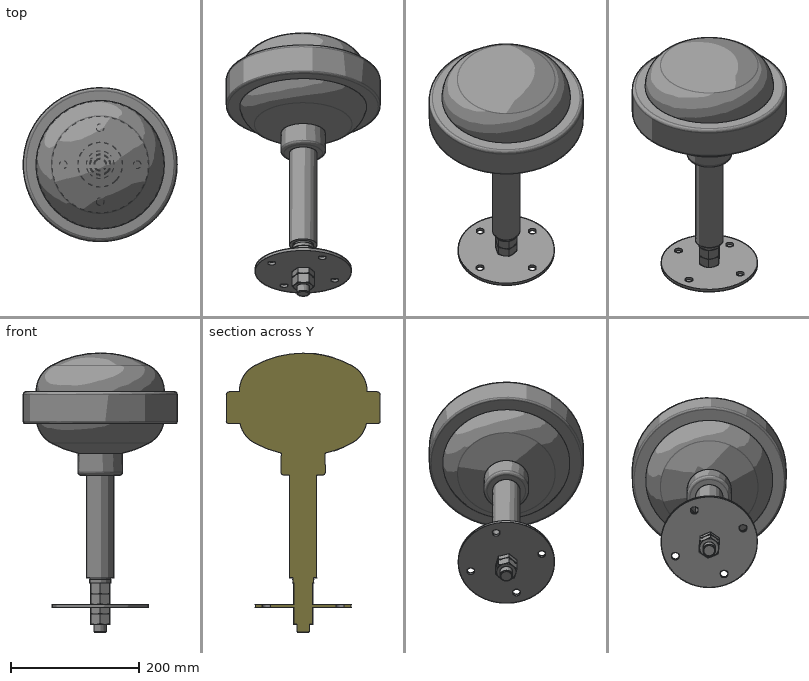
import cadquery as cq
import math

TOTAL_HEIGHT = 435.0

STUD_DIAMETER = 20.0
STUD_CHAMFER = 1.5
STUD_PROJECTION = 12.5
NUT_ACROSS_FLATS = 30.0
NUT_HEIGHT = 16.0
TOP_NUT_HEIGHT = 17.0
THIN_NUT_HEIGHT = 10.0
NUT_CHAMFER_ANGLE = 30.0

PLATE_DIAMETER = 150.0
PLATE_THICKNESS = 5.0
PLATE_HOLE_DIAMETER = 12.0
PLATE_HOLE_CIRCLE = 115.0
PLATE_HOLE_COUNT = 4

WASHER_DIAMETER = 33.0
WASHER_HEIGHT = 5.5
COLLAR_DIAMETER = 32.5
COLLAR_HEIGHT = 3.0
TUBE_DIAMETER = 43.0
BOSS_DIAMETER = 70.0
BOSS_BOTTOM = 244.5
BOSS_TOP_DIAMETER = 69.0
BOSS_FILLET = 5.0

RIM_DIAMETER = 240.0
RIM_BOTTOM = 325.0
RIM_HEIGHT = 50.0
RIM_TOP_FILLET = 5.0
RIM_BOTTOM_FILLET = 3.0

BODY_DIAMETER = 200.0
BODY_BOTTOM = 275.0
CROWN_RADIUS = 158.0
CROWN_EDGE_RADIUS = 76.0

LOWER_THIN_NUT_Z = STUD_PROJECTION + NUT_HEIGHT
PLATE_Z = LOWER_THIN_NUT_Z + THIN_NUT_HEIGHT
UPPER_NUT_Z = PLATE_Z + PLATE_THICKNESS
TOP_NUT_Z = UPPER_NUT_Z + NUT_HEIGHT
WASHER_Z = TOP_NUT_Z + TOP_NUT_HEIGHT
COLLAR_Z = WASHER_Z + WASHER_HEIGHT
TUBE_Z = COLLAR_Z + COLLAR_HEIGHT


def cylinder(diameter, bottom, top):
    return cq.Workplane("XY").workplane(offset=bottom).circle(diameter / 2).extrude(top - bottom)


def crown_point(angle):
    """Radius and distance from the apex of a crown point at an angle from the axis."""
    return CROWN_RADIUS * math.sin(angle), CROWN_RADIUS * (1 - math.cos(angle))


def make_body():
    """Revolve boss, lower crown, knuckle, side, knuckle and upper crown, then round the boss."""
    body_radius = BODY_DIAMETER / 2
    edge_sine = CROWN_EDGE_RADIUS / CROWN_RADIUS
    edge_angle = math.asin(edge_sine)
    joint_angle = math.asin(BOSS_TOP_DIAMETER / 2 / CROWN_RADIUS)

    joint_r, joint_rise = crown_point(joint_angle)
    lower_mid_r, lower_mid_rise = crown_point((joint_angle + edge_angle) / 2)
    upper_mid_r, upper_mid_drop = crown_point(edge_angle / 2)
    edge_r, edge_rise = crown_point(edge_angle)

    knuckle_radius = (body_radius - CROWN_EDGE_RADIUS) / (1 - edge_sine)
    knuckle_drop = knuckle_radius * math.cos(edge_angle)
    knuckle_mid_angle = (math.pi / 2 + edge_angle) / 2
    knuckle_mid_r = body_radius - knuckle_radius * (1 - math.sin(knuckle_mid_angle))
    knuckle_mid_rise = knuckle_radius * math.cos(knuckle_mid_angle)

    lower_edge_z = BODY_BOTTOM + edge_rise
    lower_side_z = lower_edge_z + knuckle_drop
    upper_edge_z = TOTAL_HEIGHT - edge_rise
    upper_side_z = upper_edge_z - knuckle_drop
    body = (
        cq.Workplane("XZ")
        .moveTo(0, BOSS_BOTTOM)
        .lineTo(BOSS_DIAMETER / 2, BOSS_BOTTOM)
        .lineTo(joint_r, BODY_BOTTOM + joint_rise)
        .threePointArc((lower_mid_r, BODY_BOTTOM + lower_mid_rise), (edge_r, lower_edge_z))
        .threePointArc((knuckle_mid_r, lower_side_z - knuckle_mid_rise), (body_radius, lower_side_z))
        .lineTo(body_radius, upper_side_z)
        .threePointArc((knuckle_mid_r, upper_side_z + knuckle_mid_rise), (edge_r, upper_edge_z))
        .threePointArc((upper_mid_r, TOTAL_HEIGHT - upper_mid_drop), (0, TOTAL_HEIGHT))
        .close()
        .revolve(360, (0, 0), (0, 1))
    )
    return body.faces("<Z").edges().fillet(BOSS_FILLET)


def make_rim():
    rim = cylinder(RIM_DIAMETER, RIM_BOTTOM, RIM_BOTTOM + RIM_HEIGHT)
    return rim.faces(">Z").edges().fillet(RIM_TOP_FILLET).faces("<Z").edges().fillet(RIM_BOTTOM_FILLET)


def make_nut(bottom, height):
    """Hexagon with corners on the Y axis, its lower corners cut back by a cone."""
    corner_radius = NUT_ACROSS_FLATS / math.sqrt(3)
    hexagon = (
        cq.Workplane("XY")
        .workplane(offset=bottom)
        .transformed(rotate=(0, 0, 90))
        .polygon(6, 2 * corner_radius)
        .extrude(height)
    )
    seat_radius = NUT_ACROSS_FLATS / 2
    corner_rise = (corner_radius - seat_radius) * math.tan(math.radians(NUT_CHAMFER_ANGLE))
    envelope = (
        cq.Workplane("XZ")
        .moveTo(0, bottom)
        .lineTo(seat_radius, bottom)
        .lineTo(corner_radius, bottom + corner_rise)
        .lineTo(corner_radius, bottom + height)
        .lineTo(0, bottom + height)
        .close()
        .revolve(360, (0, 0), (0, 1))
    )
    return hexagon.intersect(envelope)


def make_plate():
    plate = cylinder(PLATE_DIAMETER, PLATE_Z, PLATE_Z + PLATE_THICKNESS)
    return (
        plate.faces(">Z")
        .workplane()
        .polarArray(PLATE_HOLE_CIRCLE / 2, 0, 360, PLATE_HOLE_COUNT)
        .hole(PLATE_HOLE_DIAMETER)
    )


def make_stud():
    return cylinder(STUD_DIAMETER, 0, TUBE_Z).faces("<Z").edges().chamfer(STUD_CHAMFER)


result = make_body().union(make_rim())
result = result.union(cylinder(TUBE_DIAMETER, TUBE_Z, BOSS_BOTTOM))
result = result.union(cylinder(COLLAR_DIAMETER, COLLAR_Z, TUBE_Z))
result = result.union(cylinder(WASHER_DIAMETER, WASHER_Z, COLLAR_Z))
result = result.union(make_plate()).union(make_stud())
for nut_bottom, nut_height in (
    (STUD_PROJECTION, NUT_HEIGHT),
    (LOWER_THIN_NUT_Z, THIN_NUT_HEIGHT),
    (UPPER_NUT_Z, NUT_HEIGHT),
    (TOP_NUT_Z, TOP_NUT_HEIGHT),
):
    result = result.union(make_nut(nut_bottom, nut_height))